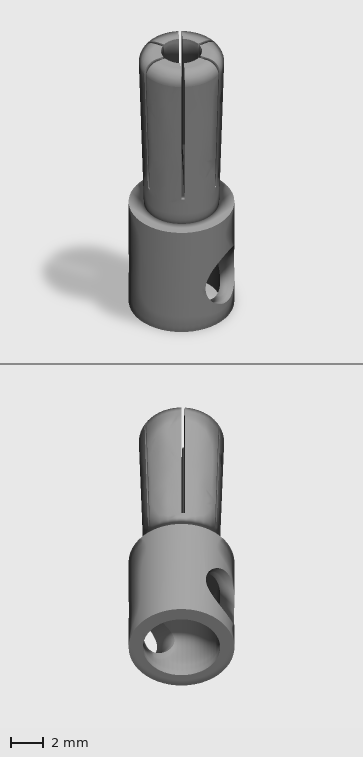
import cadquery as cq

total_height = 18.9
base_diameter = 6.45
base_height = 7.5

plug_root_diameter = 4.6
plug_top_diameter = 5.2
tip_radius = 0.81
bore_diameter = 2.5
bore_depth = 8.0

cross_slot_count = 3
slot_width = 0.2
slot_depth = 9.5

cross_hole_diameter = 3.7
cross_hole_height = 3.0

socket_diameter = 4.7
socket_depth = 6.0


def make_base():
    return cq.Workplane("XY").circle(base_diameter / 2).extrude(base_height)


def make_plug():
    """Revolve the flared plug, with a quarter-round tip, about Z."""
    root_radius = plug_root_diameter / 2
    top_radius = plug_top_diameter / 2
    shoulder_height = total_height - tip_radius
    flat_radius = top_radius - tip_radius
    diagonal = tip_radius * 0.5 ** 0.5
    return (
        cq.Workplane("XZ")
        .moveTo(0, base_height)
        .lineTo(root_radius, base_height)
        .lineTo(top_radius, shoulder_height)
        .threePointArc(
            (flat_radius + diagonal, shoulder_height + diagonal),
            (flat_radius, total_height),
        )
        .lineTo(0, total_height)
        .close()
        .revolve(360, (0, 0, 0), (0, 1, 0))
    )


def make_bore():
    return (
        cq.Workplane("XY", origin=(0, 0, total_height - bore_depth))
        .circle(bore_diameter / 2)
        .extrude(bore_depth)
    )


def make_cross_slot(angle):
    return (
        cq.Workplane("XY", origin=(0, 0, total_height - slot_depth))
        .rect(base_diameter, slot_width)
        .extrude(slot_depth)
        .rotate((0, 0, 0), (0, 0, 1), angle)
    )


def make_socket():
    return cq.Workplane("XY").circle(socket_diameter / 2).extrude(socket_depth)


def make_cross_hole():
    return (
        cq.Workplane("YZ")
        .center(0, cross_hole_height)
        .circle(cross_hole_diameter / 2)
        .extrude(base_diameter / 2, both=True)
    )


result = make_base().union(make_plug()).cut(make_bore())
result = result.cut(make_socket()).cut(make_cross_hole())
for index in range(cross_slot_count):
    result = result.cut(make_cross_slot(index * 180 / cross_slot_count))